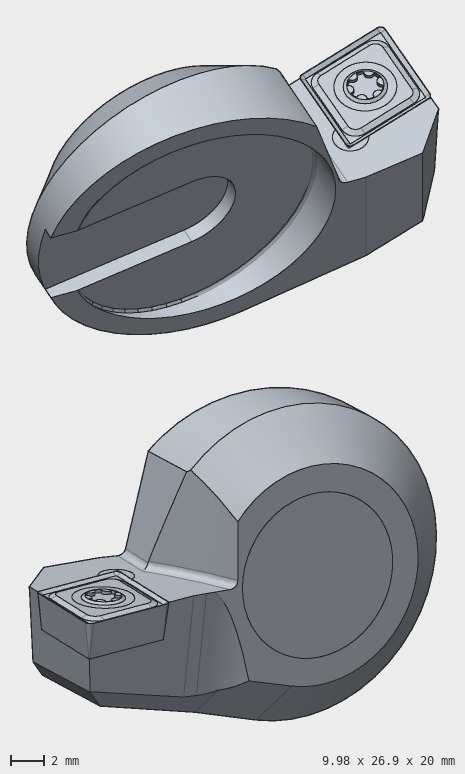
import cadquery as cq
import math

disc_radius = 10.0
front_radius = 7.0
bevel = disc_radius - front_radius
bore_radius = 8.48
bore_floor = 5.5
bore_fillet = 0.15
slot_floor = 4.5
slot_radius = 3.0

back_at_axis = 6.77
back_slope = 0.16
arm_back = 8.43

arm_tip = 16.73
end_relief = 7
arm_end_low = -4.75
arm_heel = (14.53, -6.35)
underside_angle = 15
arm_corner_y = 14.28
arm_corner_x = 5.88
reach = 21.48

rake = 2.5
top_zero_x = -1.07
wall_foot_y = 8.85
wall_lean = 13.5
wall_curve = [(0, 5.55), (2.98, 7.15), (5.5, wall_foot_y)]
wall_fillet = 0.5

side_slope_y = 0.18
side_slope_z = 0.18
side_at_tip = -1.42
side_end = 8.62
blend_start = 7.73
blend_radius = 4.5

insert_width = 6.35
insert_angle = 80
insert_thickness = 2.4
insert_relief = 7
insert_corner = 0.32
pocket_corner = 0.08
insert_tip = 16.85
insert_center = (2.17, insert_tip - insert_width / 2)
groove_width = 6.28
groove_depth = 0.15
groove_taper = 61
plateau_width = 4.75
plateau_corner = 0.55
plateau_taper = 68

screw_head_radius = 1.9
screw_shank_radius = 1.25
screw_head_height = 1.2
screw_length = 4.56
collar_radius = 1.35
collar_height = 0.13
collar_top_radius = 1.13
socket_radius = 1.07
socket_depth = 0.21
socket_rib_count = 6
socket_rib_radius = 0.32
socket_rib_angle = 20

pin_radius = 1.1
pin_center = (5.2, 11.05)
plug_radius = 5.24
plug_thickness = 2.0


def top_plane(x, y):
    """Plane parallel to the arm top, centred over (x, y)."""
    tilt = math.radians(rake)
    normal = (-math.sin(tilt), 0, math.cos(tilt))
    z = (x - top_zero_x) * math.tan(tilt)
    return cq.Plane(origin=(x, y, z), xDir=(math.cos(tilt), 0, math.sin(tilt)), normal=normal)


def rhombus(plane, width, corner):
    """Rounded 80 degree rhombus with two sides along X."""
    half = width / 2
    lean = half / math.tan(math.radians(insert_angle))
    side = half / math.sin(math.radians(insert_angle))
    corners = [(-side - lean, half), (side - lean, half), (side + lean, -half), (-side + lean, -half)]
    sketch = cq.Sketch().polygon(corners + corners[:1]).vertices().fillet(corner)
    return cq.Workplane(plane).placeSketch(sketch)


def cup_blank():
    profile = [(0, 0), (0, front_radius), (bevel, disc_radius), (arm_back, disc_radius), (arm_back, 0)]
    return cq.Workplane("XY").polyline(profile).close().revolve(360, (0, 0, 0), (1, 0, 0))


def underside_plane(along):
    """Section plane across the underside: local axes are X and the distance from the cup axis."""
    angle = math.radians(underside_angle)
    direction = (0, math.cos(angle), math.sin(angle))
    return cq.Plane(origin=tuple(along * part for part in direction), xDir=(1, 0, 0), normal=direction)


def underside_bevel():
    """45 degree bevel continuing the cup's bevel, then fading out toward the arm end."""
    fade_start = 4.43
    fade_end = 16.1
    fade_rise = 2.6
    low_x = -3.22
    outer = 13.42

    def section(base):
        return [(low_x, base + low_x), (outer - base, outer), (low_x, outer)]

    straight = cq.Workplane(underside_plane(0)).polyline(section(front_radius)).close().extrude(fade_start)
    fading = (
        cq.Workplane(underside_plane(fade_start)).polyline(section(front_radius)).close()
        .workplane(offset=fade_end - fade_start).polyline(section(front_radius + fade_rise)).close()
        .loft(ruled=True)
    )
    return straight.union(fading)


def arm_side():
    """Space in front of the arm: leaning side, strip and hollow blend up to the cup."""
    clear_x = -4.83
    lift = 2.15
    normal = (-side_slope_z, 0, 1)
    plane = cq.Plane(origin=(0, 0, 0), xDir=(1, 0, side_slope_z), normal=normal)

    def side_x(y):
        return side_at_tip + side_slope_y * (arm_tip - y)

    strip_x = side_x(side_end)
    center = (strip_x - blend_radius, blend_start)
    half_leg = blend_radius * math.cos(math.pi / 4)
    middle = (center[0] + half_leg, center[1] - half_leg)
    end = (center[0], center[1] - blend_radius)
    return (
        cq.Workplane(plane).workplane(offset=lift)
        .moveTo(clear_x, reach).lineTo(side_x(reach), reach).lineTo(strip_x, side_end)
        .lineTo(strip_x, blend_start).threePointArc(middle, end).lineTo(clear_x, end[1])
        .close().extrude(-reach)
    )


def arm_blank():
    front_x = -3.22
    top_z = 1.35
    lean = math.tan(math.radians(end_relief))
    angle = math.radians(underside_angle)
    outline = [
        (0, 0),
        (0, top_z),
        (arm_tip + top_z * lean, top_z),
        (arm_tip + arm_end_low * lean, arm_end_low),
        arm_heel,
        (disc_radius * math.sin(angle), -disc_radius * math.cos(angle)),
    ]
    arm = cq.Workplane("YZ").workplane(offset=front_x).polyline(outline).close().extrude(arm_back - front_x)
    front_gap = cq.Workplane("XY").box(reach, blend_start + reach, 2 * reach, centered=(False, False, True))
    corner = (
        cq.Workplane("XY").workplane(offset=-reach)
        .moveTo(arm_corner_x, arm_tip).lineTo(arm_back, arm_corner_y)
        .lineTo(arm_back, reach).lineTo(arm_corner_x, reach).close().extrude(2 * reach)
    )
    return arm.cut(front_gap.translate((-reach, -reach, 0))).cut(corner).cut(underside_bevel())


def arm_top_space():
    """Space above the arm: a curved upright wall in front, a leaning wall behind, a raked floor."""
    start, middle, end = wall_curve
    upright = (
        cq.Workplane("XY").workplane(offset=-reach / 2)
        .moveTo(*start).threePointArc(middle, end).lineTo(reach, end[1])
        .lineTo(reach, reach).lineTo(-reach, reach).lineTo(-reach, start[1]).close().extrude(reach)
    )
    lean = math.tan(math.radians(wall_lean))
    foot_z = (end[0] - top_zero_x) * math.tan(math.radians(rake))
    leaning = (
        cq.Workplane("YZ")
        .polyline([(wall_foot_y, foot_z), (wall_foot_y - reach / 2 * lean, foot_z + reach / 2),
                   (reach, foot_z + reach / 2), (reach, foot_z)]).close().extrude(reach)
    )
    above = cq.Workplane(top_plane(0, 0)).rect(2 * reach, 2 * reach).extrude(reach)
    space = upright.union(leaning).intersect(above)
    curved_foot = cq.selectors.NearestToPointSelector(middle + (foot_z,))
    straight_foot = cq.selectors.NearestToPointSelector((reach / 2, wall_foot_y, foot_z))
    return space.edges(curved_foot + straight_foot).fillet(wall_fillet)


def back_space():
    """Everything behind the tilted back face of the cup."""
    def back_x(y):
        return back_at_axis + back_slope * y

    return (
        cq.Workplane("XY").workplane(offset=-reach)
        .polyline([(back_x(-reach), -reach), (back_x(reach), reach), (2 * reach, reach), (2 * reach, -reach)])
        .close().extrude(2 * reach)
    )


def bore():
    return (
        cq.Workplane("YZ").workplane(offset=bore_floor).circle(bore_radius).extrude(reach)
        .faces("<X").edges().fillet(bore_fillet)
    )


def driving_slot():
    """Slot from the -Y rim to a round end on the cup axis."""
    round_end = cq.Workplane("YZ").workplane(offset=slot_floor).circle(slot_radius).extrude(reach)
    channel = cq.Workplane("XY").box(reach, reach, 2 * slot_radius, centered=(False, False, True))
    return round_end.union(channel.translate((slot_floor, -reach, 0)))


def make_screw():
    plane = top_plane(*insert_center)
    profile = [
        (0, collar_height), (collar_top_radius, collar_height), (collar_radius, 0),
        (screw_head_radius, 0), (screw_shank_radius, -screw_head_height),
        (screw_shank_radius, -screw_length), (0, -screw_length),
    ]
    axis_plane = cq.Plane(origin=plane.origin, xDir=plane.xDir, normal=-plane.yDir)
    return cq.Workplane(axis_plane).polyline(profile).close().revolve(360, (0, 0, 0), (0, 1, 0))


def socket():
    """Round socket with six ribs."""
    top = cq.Workplane(top_plane(*insert_center)).workplane(offset=collar_height)
    ribs = (
        top.polarArray(socket_radius, socket_rib_angle, 360, socket_rib_count)
        .circle(socket_rib_radius).extrude(-socket_depth)
    )
    return top.circle(socket_radius).extrude(-socket_depth).cut(ribs)


def insert_blank(corner):
    """Tapered rhombus, used for the insert and for its pocket."""
    plane = top_plane(*insert_center)
    return rhombus(plane, insert_width, corner).extrude(-insert_thickness, taper=insert_relief)


def chip_groove():
    """V groove between the insert edges and a raised plateau."""
    plane = top_plane(*insert_center)
    hollow = rhombus(plane, groove_width, insert_corner).extrude(-groove_depth, taper=groove_taper)
    plateau = rhombus(plane, plateau_width, plateau_corner).extrude(-groove_depth, taper=-plateau_taper)
    return hollow.cut(plateau)


def make_pin():
    return cq.Workplane(top_plane(*pin_center)).circle(pin_radius).extrude(-insert_thickness)


def make_plug():
    return cq.Workplane("YZ").circle(plug_radius).extrude(plug_thickness)


def make_holder():
    holder = cup_blank().union(arm_blank())
    for space in (arm_side(), arm_top_space(), back_space(), bore(), driving_slot()):
        holder = holder.cut(space)
    return holder


plug = make_plug()
screw_blank = make_screw()
pocket = insert_blank(pocket_corner)
pin_blank = make_pin()
holder = make_holder().cut(plug).cut(pocket).cut(pin_blank).cut(screw_blank)
screw = screw_blank.cut(socket())
insert = insert_blank(insert_corner).cut(screw_blank).cut(chip_groove())
pin = pin_blank.cut(pocket)

result = cq.Compound.makeCompound([holder.val(), plug.val(), insert.val(), screw.val(), pin.val()])